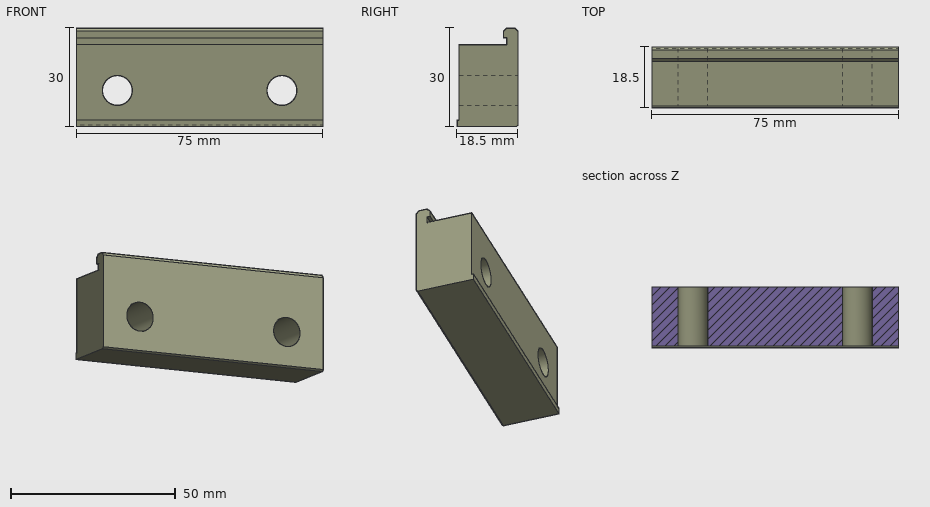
import cadquery as cq

length = 75.0
depth = 18.5
height = 30.0

lip_depth = 4.5
neck_depth = 3.5
lip_height = 3.0
lip_chamfer = 1.0

block_drop = 5.0
foot_projection = 0.5
foot_height = 2.0
back_bottom_chamfer = 0.5

hole_diameter = 9.0
hole_spacing = 50.0
hole_height = 11.0

block_front = foot_projection
neck_front = depth - neck_depth
lip_front = depth - lip_depth

block_top = height - block_drop
lip_bottom = height - lip_height


def make_bar():
    """Extrude the hooked Y-Z profile along X."""
    profile = [
        (0, 0),
        (0, foot_height),
        (block_front, foot_height),
        (block_front, block_top),
        (neck_front, block_top),
        (neck_front, lip_bottom),
        (lip_front, lip_bottom),
        (lip_front, height - lip_chamfer),
        (lip_front + lip_chamfer, height),
        (depth - lip_chamfer, height),
        (depth, height - lip_chamfer),
        (depth, back_bottom_chamfer),
        (depth - back_bottom_chamfer, 0),
    ]
    return cq.Workplane("YZ").polyline(profile).close().extrude(length)


def make_holes():
    """Two cylinders through the full depth, centred along the bar."""
    centers = [(length / 2 + side * hole_spacing / 2, hole_height) for side in (-1, 1)]
    return cq.Workplane("XZ").pushPoints(centers).circle(hole_diameter / 2).extrude(-depth)


result = make_bar().cut(make_holes())